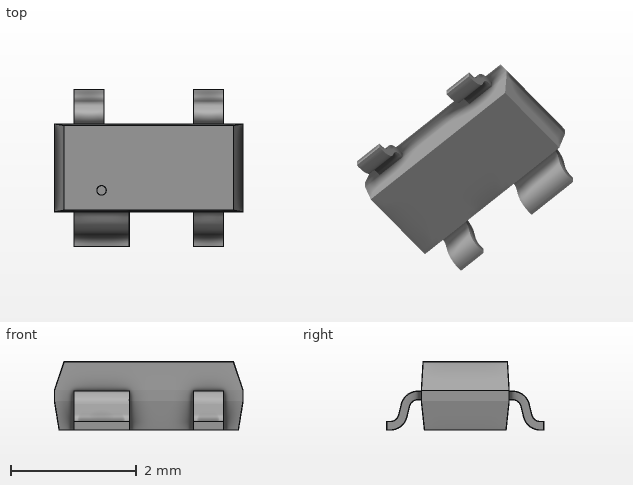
import cadquery as cq
import math

belt_length = 3.0
belt_width = 1.398
top_length = 2.695
top_width = 1.345
bottom_length = 2.85
bottom_width = 1.3
package_height = 1.09
belt_height = 0.177
belt_bottom = (package_height - belt_height) / 2
belt_top = belt_bottom + belt_height

mark_diameter = 0.15
mark_depth = 0.015
mark_x = -0.75
mark_y = -0.357

overall_width = 2.5
lead_thickness = 0.138
lead_top = 0.62
shoulder_length = 0.05
leg_angle = math.radians(76)
inner_radius = lead_thickness
outer_radius = inner_radius + lead_thickness
lead_edge_x = 1.19
narrow_lead = 0.48
wide_lead = 0.882


def tapered_block(bottom_z, lower_size, upper_z, upper_size):
    """Loft between two centred horizontal rectangles."""
    return (
        cq.Workplane("XY")
        .workplane(offset=bottom_z)
        .rect(*lower_size)
        .workplane(offset=upper_z - bottom_z)
        .rect(*upper_size)
        .loft(ruled=True, combine=True)
    )


def make_mark():
    return (
        cq.Workplane("XY")
        .workplane(offset=package_height - mark_depth)
        .center(mark_x, mark_y)
        .circle(mark_diameter / 2)
        .extrude(mark_depth)
    )


def make_package(mark):
    belt_size = (belt_length, belt_width)
    lower = tapered_block(0, (bottom_length, bottom_width), belt_bottom, belt_size)
    belt = tapered_block(belt_bottom, belt_size, belt_top, belt_size)
    upper = tapered_block(belt_top, belt_size, package_height, (top_length, top_width))
    return lower.union(belt).union(upper).cut(mark)


def arc_point(center, radius, angle):
    """Point on a circle, with the angle measured from +Z toward +Y."""
    return (center[0] + radius * math.sin(angle), center[1] + radius * math.cos(angle))


def make_lead(left_x, width, side):
    """One lead from left_x to left_x + width, on the +Y (side=1) or -Y (side=-1) face."""
    bend_radius = (inner_radius + outer_radius) / 2
    drop = lead_top - lead_thickness
    leg_length = (drop - 2 * bend_radius * (1 - math.cos(leg_angle))) / math.sin(leg_angle)
    bend_spacing = 2 * bend_radius * math.sin(leg_angle) + leg_length * math.cos(leg_angle)

    face_y = belt_width / 2
    tip_y = overall_width / 2
    shoulder_center = (face_y + shoulder_length, lead_top - outer_radius)
    foot_center = (shoulder_center[0] + bend_spacing, outer_radius)

    def shoulder(radius, fraction):
        return arc_point(shoulder_center, radius, leg_angle * fraction)

    def foot(radius, fraction):
        return arc_point(foot_center, radius, math.pi + leg_angle * fraction)

    lead = (
        cq.Workplane("YZ")
        .moveTo(face_y, lead_top)
        .lineTo(*shoulder(outer_radius, 0))
        .threePointArc(shoulder(outer_radius, 0.5), shoulder(outer_radius, 1))
        .lineTo(*foot(inner_radius, 1))
        .threePointArc(foot(inner_radius, 0.5), foot(inner_radius, 0))
        .lineTo(tip_y, lead_thickness)
        .lineTo(tip_y, 0)
        .lineTo(*foot(outer_radius, 0))
        .threePointArc(foot(outer_radius, 0.5), foot(outer_radius, 1))
        .lineTo(*shoulder(inner_radius, 1))
        .threePointArc(shoulder(inner_radius, 0.5), shoulder(inner_radius, 0))
        .lineTo(face_y, lead_top - lead_thickness)
        .close()
        .extrude(width)
        .translate((left_x, 0, 0))
    )
    return lead if side > 0 else lead.mirror("XZ")


mark = make_mark()
package = make_package(mark)

right_lead_x = lead_edge_x - narrow_lead
lead_places = [
    (-lead_edge_x, wide_lead, -1),
    (right_lead_x, narrow_lead, -1),
    (-lead_edge_x, narrow_lead, 1),
    (right_lead_x, narrow_lead, 1),
]
leads = [make_lead(left_x, width, side) for left_x, width, side in lead_places]

result = cq.Compound.makeCompound([package.val(), mark.val(), *[lead.val() for lead in leads]])